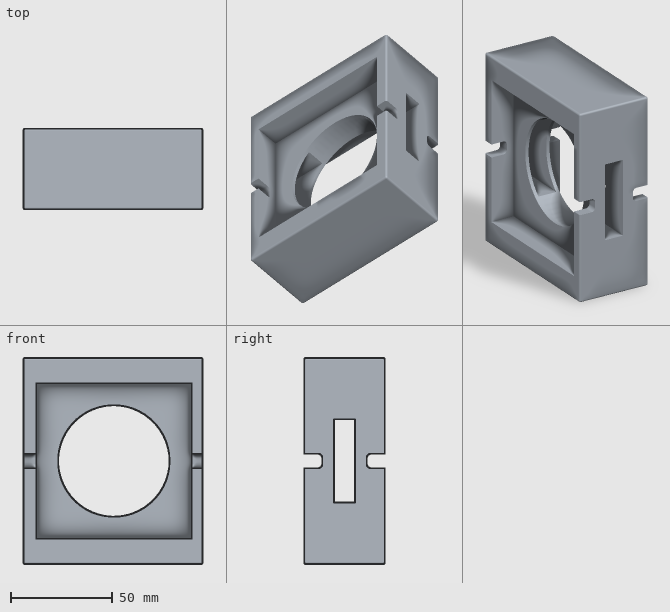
import cadquery as cq

width = 88.5
depth = 40.0
height = 102.0
edge_radius = 1.0

pocket_side = 76.8
pocket_depth = 13.0
bore_diameter = 55.0
bore_shift = 0.4

slot_width = 10.3
slot_height = 41.0

notch_height = 7.0
notch_depth = 9.0
notch_radius = 2.0


def make_block():
    return cq.Workplane("XY").box(width, depth, height).edges().fillet(edge_radius)


def make_pocket(side):
    """Square pocket opening on the face at -Y (side = -1) or +Y (side = 1)."""
    centre_y = side * (depth - pocket_depth) / 2
    pocket = cq.Workplane("XY").box(pocket_side, pocket_depth, pocket_side)
    return pocket.translate((bore_shift, centre_y, 0))


def make_bore():
    bore = cq.Workplane("XZ").circle(bore_diameter / 2).extrude(depth / 2, both=True)
    return bore.translate((bore_shift, 0, 0))


def make_slot():
    return cq.Workplane("XY").box(width, slot_width, slot_height)


def make_notch(side):
    """Notch across the full width, with its two inner corners rounded."""
    centre_y = side * (depth - notch_depth) / 2
    inner_edges = "|X and >Y" if side < 0 else "|X and <Y"
    notch = cq.Workplane("XY").box(width, notch_depth, notch_height)
    notch = notch.edges(inner_edges).fillet(notch_radius)
    return notch.translate((0, centre_y, 0))


result = make_block().cut(make_bore()).cut(make_slot())
for face_side in (-1, 1):
    result = result.cut(make_pocket(face_side))
    result = result.cut(make_notch(face_side))